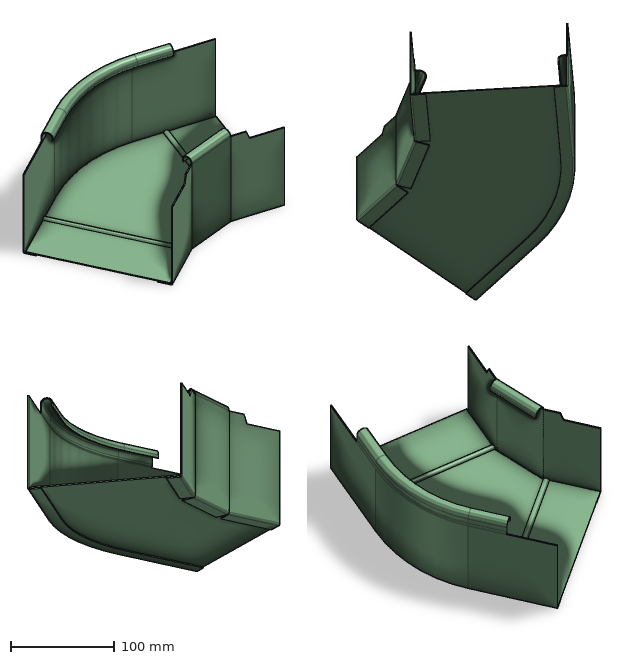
import cadquery as cq
import math


overall_length = 260.0
overall_width = 216.3
overall_height = 113.0
turn_angle = 45.0
straight_length = 90.2
inner_end_length = 58.0
turn_sin = math.sin(math.radians(turn_angle))
turn_cos = math.cos(math.radians(turn_angle))
outer_radius = (overall_length - straight_length * (1 + turn_cos)) / turn_sin
outlet_shift = outer_radius * (1 - turn_cos) + straight_length * turn_sin
tray_width = (overall_width - outlet_shift) / turn_cos

sheet = 1.3
fold_radius = 0.8
fold_outer_radius = fold_radius + sheet
outer_flange = 13.5
inner_flange = 15.5
wall_height = 97.5

rail_radius = 6.2
rail_lip = 3.0
rail_start = 51.2
rail_center_z = overall_height - rail_radius
joggle_height = 3.0
joggle_offset = 0.9
joggle_radius = (joggle_height**2 + joggle_offset**2) / (4 * joggle_offset)
joggle_angle = 2 * math.atan(joggle_offset / joggle_height)

tab_top_length = 17.0
tab_slope_length = 3.6

floor_inset = 2.5
bead_width = 6.2
bead_height = 1.95

corner_relief_height = 4.5

inlet_heading = 90.0
middle_heading = inlet_heading - turn_angle / 2


def direction(angle):
    """Horizontal unit vector at an angle from +X."""
    return cq.Vector(math.cos(math.radians(angle)), math.sin(math.radians(angle)), 0)


bisector_normal = direction(middle_heading)
turn_center_point = cq.Vector(outer_radius, straight_length, 0)
inner_corner = cq.Vector(tray_width, inner_end_length, 0)
middle_half_length = (turn_center_point - inner_corner).dot(bisector_normal)


def mirrored(body):
    """Copy of a body on the other side of the bisector plane."""
    return body.mirror(bisector_normal, turn_center_point)


def with_mirror(body):
    """A body joined to its copy on the other side of the bisector plane."""
    return body.union(mirrored(body))


def outer_plane(y):
    """Section plane of the outer wall at a given Y: local x points into the tray, local y points up."""
    return cq.Workplane(cq.Plane((0, y, 0), (1, 0, 0), (0, -1, 0)))


def inner_plane(corner, heading):
    """Section plane of the inner wall: local x points into the tray, extrusion follows the heading."""
    inward = direction(heading + 90)
    return cq.Workplane(cq.Plane(corner.toTuple(), inward.toTuple(), direction(heading).toTuple()))


def joggle_sagitta(radius):
    """Bulge of one joggle arc of the given radius over its chord."""
    return radius * (1 - math.cos(joggle_angle / 2))


def wall_section(plane, flange, height):
    """Bottom flange, rounded fold and upright web."""
    diagonal = math.sqrt(0.5)
    outer_mid = fold_outer_radius * (1 - diagonal)
    inner_mid = fold_outer_radius - fold_radius * diagonal
    return (
        plane.moveTo(flange, 0)
        .lineTo(fold_outer_radius, 0)
        .threePointArc((outer_mid, outer_mid), (0, fold_outer_radius))
        .lineTo(0, height)
        .lineTo(sheet, height)
        .lineTo(sheet, fold_outer_radius)
        .threePointArc((inner_mid, inner_mid), (fold_outer_radius, sheet))
        .lineTo(flange, sheet)
        .close()
    )


def rail_section(plane, offset):
    """Half-round rail with a short lip, its outer side set in by the offset."""
    center = offset + rail_radius
    bore = rail_radius - sheet
    lip_z = rail_center_z - rail_lip
    return (
        plane.moveTo(offset, rail_center_z)
        .threePointArc((center, overall_height), (center + rail_radius, rail_center_z))
        .lineTo(center + rail_radius, lip_z)
        .lineTo(center + bore, lip_z)
        .lineTo(center + bore, rail_center_z)
        .threePointArc((center, rail_center_z + bore), (offset + sheet, rail_center_z))
        .close()
    )


def neck_section(plane):
    """S-shaped joggle of even thickness, and the short neck from it up to the rail."""
    middle_x = joggle_offset / 2
    middle_z = wall_height + joggle_height / 2
    inside_middle_x = middle_x + sheet * math.cos(joggle_angle)
    inside_middle_z = middle_z - sheet * math.sin(joggle_angle)
    top_z = wall_height + joggle_height
    return (
        plane.moveTo(0, wall_height)
        .sagittaArc((middle_x, middle_z), joggle_sagitta(joggle_radius))
        .sagittaArc((joggle_offset, top_z), -joggle_sagitta(joggle_radius))
        .lineTo(joggle_offset, rail_center_z)
        .lineTo(joggle_offset + sheet, rail_center_z)
        .lineTo(joggle_offset + sheet, top_z)
        .sagittaArc((inside_middle_x, inside_middle_z), joggle_sagitta(joggle_radius + sheet))
        .sagittaArc((sheet, wall_height), -joggle_sagitta(joggle_radius - sheet))
        .close()
    )


def around_turn(section):
    """Sweep a section of the outer wall around the turn."""
    return section.revolve(turn_angle, (outer_radius, 2.5), (outer_radius, 0))


def make_outer_wall():
    """Outer wall: straight ends and an arc, with a joggled neck and a rail along the middle stretch."""
    turn = outer_plane(straight_length)
    rail_length = straight_length - rail_start
    wall = around_turn(wall_section(turn, outer_flange, wall_height))
    neck = around_turn(neck_section(turn))
    rail = around_turn(rail_section(turn, joggle_offset))
    end_wall = wall_section(outer_plane(0), outer_flange, wall_height).extrude(-straight_length)
    end_neck = neck_section(outer_plane(rail_start)).extrude(-rail_length)
    end_rail = rail_section(outer_plane(rail_start), joggle_offset).extrude(-rail_length)
    body = wall.union(neck).union(rail)
    for piece in (end_wall, end_neck, end_rail):
        body = body.union(piece).union(mirrored(piece))
    return body


def make_inner_wall():
    """Inner wall: a middle panel with a rail, joined by bends to an end panel on each side."""
    middle_length = 2 * middle_half_length
    middle = wall_section(inner_plane(inner_corner, middle_heading), inner_flange, rail_center_z)
    rail = rail_section(inner_plane(inner_corner, middle_heading), 0)
    body = middle.extrude(middle_length).union(rail.extrude(middle_length))
    body = body.union(with_mirror(make_inner_end()))
    return body.union(with_mirror(make_inner_bend()))


def make_inner_end():
    """Inlet part of the inner wall, with the sloped tab next to the corner."""
    start = cq.Vector(tray_width, 0, 0)
    section = wall_section(inner_plane(start, inlet_heading), inner_flange, wall_height)
    panel = section.extrude(inner_end_length)
    tab_y = inner_end_length - tab_top_length
    tab = (
        cq.Workplane("YZ", origin=(tray_width - sheet, 0, 0))
        .moveTo(inner_end_length, wall_height)
        .lineTo(inner_end_length, rail_center_z)
        .lineTo(tab_y, rail_center_z)
        .lineTo(tab_y - tab_slope_length, wall_height)
        .close()
        .extrude(sheet)
    )
    return panel.union(tab)


def make_inner_bend():
    """Rounded bend of the web at the inner corner, open at the bottom as a fold relief."""
    return (
        inner_plane(inner_corner, inlet_heading)
        .moveTo(0, corner_relief_height)
        .lineTo(0, rail_center_z)
        .lineTo(sheet, rail_center_z)
        .lineTo(sheet, corner_relief_height)
        .close()
        .revolve(turn_angle / 2, (0, 2.5), (0, 0))
    )


def make_floor():
    """Floor plate between the wall folds, resting on the flanges, with a bead across each end."""
    inset = floor_inset
    inward = direction(middle_heading + 90)
    edge_radius = outer_radius - inset
    quarter_point = turn_center_point + direction(180 - turn_angle / 4) * edge_radius
    half_point = turn_center_point + inward * edge_radius
    inner_middle = inner_corner + bisector_normal * middle_half_length + inward * inset
    corner_y = inner_end_length + inset * math.tan(math.radians(turn_angle / 4))
    half = (
        cq.Workplane("XY", origin=(0, 0, sheet))
        .moveTo(inset, 0)
        .lineTo(inset, straight_length)
        .threePointArc((quarter_point.x, quarter_point.y), (half_point.x, half_point.y))
        .lineTo(inner_middle.x, inner_middle.y)
        .lineTo(tray_width - inset, corner_y)
        .lineTo(tray_width - inset, 0)
        .close()
        .extrude(sheet)
    )
    bead = (
        cq.Workplane("YZ", origin=(inset, rail_start, 2 * sheet))
        .moveTo(0, 0)
        .threePointArc((bead_width / 2, bead_height), (bead_width, 0))
        .close()
        .extrude(tray_width - 2 * inset)
    )
    return with_mirror(half.union(bead))


outer_wall = make_outer_wall()
inner_wall = make_inner_wall()
floor = make_floor()

result = cq.Compound.makeCompound([body.solids().val() for body in (outer_wall, inner_wall, floor)])